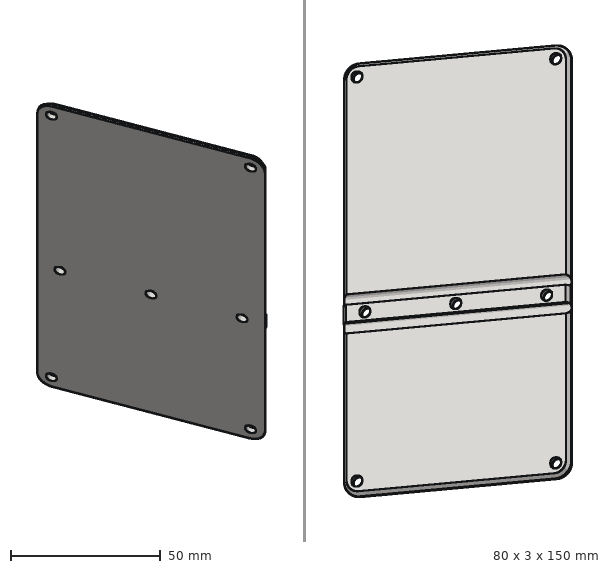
import cadquery as cq

width = 80.0
height = 150.0
total_depth = 3.0
plate_thickness = 2.4
corner_radius = 5.5
edge_chamfer = 1.4

hole_diameter = 3.8
corner_hole_inset = 5.0
bar_hole_spacing = 32.0

bar_center_z = -11.8
bar_width = 6.0
bar_end_chamfer = edge_chamfer
groove_radius = 2.4
groove_offset = 4.5
groove_floor = 0.8

front_y = -total_depth / 2
back_y = front_y + total_depth


def make_plate():
    """Rounded plate with its back edge chamfered all round."""
    plate = cq.Workplane("XY").box(width, plate_thickness, height)
    plate = plate.translate((0, front_y + plate_thickness / 2, 0))
    plate = plate.edges("|Y").fillet(corner_radius)
    return plate.faces(">Y").edges().chamfer(edge_chamfer)


def cut_grooves(plate):
    """Cut a round groove along X above and below the bar."""
    groove_y = front_y + groove_floor + groove_radius
    for side in (-1, 1):
        groove = (
            cq.Workplane("YZ")
            .center(groove_y, bar_center_z + side * groove_offset)
            .circle(groove_radius)
            .extrude(width / 2, both=True)
        )
        plate = plate.cut(groove)
    return plate


def make_bar():
    """Full-width bar with both ends chamfered on the back."""
    bar = cq.Workplane("XY").box(width, total_depth, bar_width)
    bar = bar.edges(">Y and |Z").chamfer(bar_end_chamfer)
    return bar.translate((0, 0, bar_center_z))


def cut_holes(body):
    """Drill the four corner holes and the three holes through the bar."""
    corner_x = width / 2 - corner_hole_inset
    corner_z = height / 2 - corner_hole_inset
    centers = [(x, z) for x in (-corner_x, corner_x) for z in (-corner_z, corner_z)]
    centers += [(x, bar_center_z) for x in (-bar_hole_spacing, 0, bar_hole_spacing)]
    for x, z in centers:
        hole = (
            cq.Workplane("XZ", origin=(x, back_y, z))
            .circle(hole_diameter / 2)
            .extrude(total_depth)
        )
        body = body.cut(hole)
    return body


result = cut_holes(cut_grooves(make_plate()).union(make_bar()))